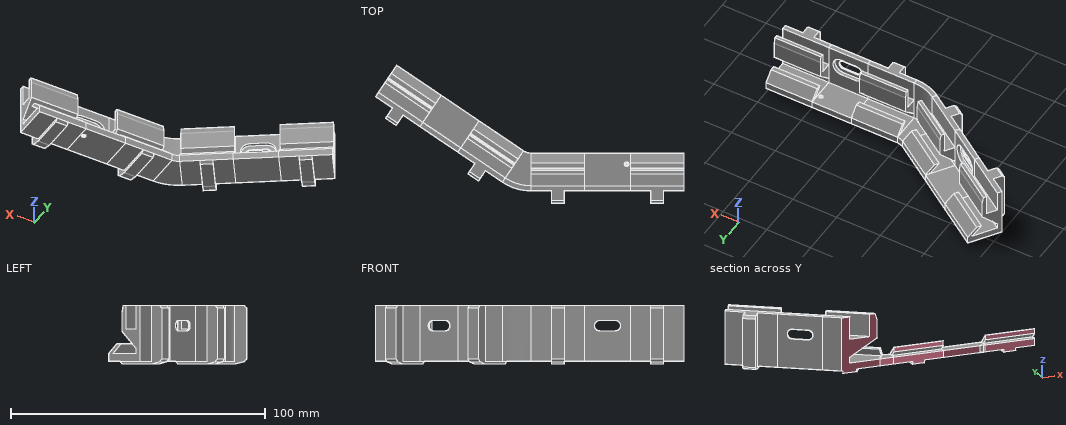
import cadquery as cq

clip_length = 21.1
plate_length = 17.9
run_length = 2 * clip_length + plate_length
bend_angle = 34.0
bend_radius = 20.1

rail_depth = 14.9
rail_height = 22.0
wall_thickness = 2.0
floor_thickness = 3.0

tongue_front = 6.7
tongue_back_top = 8.1
tongue_back = 8.6
tongue_slot_depth = 9.2
tongue_taper_height = 2.7
tongue_low_edge = 11.7
lip_height = 7.0
lip_top_front = 9.0
lip_top_back = 11.0

rib_width = 5.1
rib_reach = 4.8
rib_chamfer = 1.1
rib_toe_drop = 0.1
skid_drop = 1.1

window_length = 10.2
window_height = 4.0
window_center_height = 14.0
window_rim_thickness = 0.6
window_pocket_margin = 1.9

ring_outer_radius = 0.8
disc_radius = 0.5
ring_end_gap = 1.5
ring_depth = 10.5


def extrude_along_run(profile, start, length):
    """Extrude a list of (y, z) points along x."""
    return cq.Workplane("YZ").workplane(offset=start).polyline(profile).close().extrude(length)


def make_rib(center):
    profile = [
        (wall_thickness, rail_height),
        (-rib_reach + rib_chamfer, rail_height),
        (-rib_reach, rail_height - rib_chamfer),
        (-rib_reach, rib_chamfer - rib_toe_drop),
        (-rib_reach + rib_chamfer, -rib_toe_drop),
        (0, -skid_drop),
        (rail_depth - skid_drop, -skid_drop),
        (rail_depth, 0),
        (wall_thickness, 0),
    ]
    return extrude_along_run(profile, center - rib_width / 2, rib_width)


def make_clip(start):
    underside_rise = tongue_back - wall_thickness
    lip_outer_edge = lip_height - (rail_depth - lip_top_back)
    lip_foot = lip_top_front + lip_height - floor_thickness
    slot_floor = rail_height - tongue_slot_depth
    profile = [
        (0, 0),
        (rail_depth, 0),
        (rail_depth, lip_outer_edge),
        (lip_top_back, lip_height),
        (lip_top_front, lip_height),
        (lip_foot, floor_thickness),
        (wall_thickness, floor_thickness),
        (wall_thickness, tongue_low_edge - underside_rise),
        (tongue_back, tongue_low_edge),
        (tongue_back, rail_height - tongue_taper_height),
        (tongue_back_top, rail_height),
        (tongue_front, rail_height),
        (tongue_front, slot_floor),
        (wall_thickness, slot_floor),
        (wall_thickness, rail_height),
        (0, rail_height),
    ]
    body = extrude_along_run(profile, start, clip_length)
    return body.union(make_rib(start + clip_length / 2))


angle_profile = [
    (0, 0),
    (rail_depth, 0),
    (rail_depth, floor_thickness),
    (wall_thickness, floor_thickness),
    (wall_thickness, rail_height),
    (0, rail_height),
]


def make_oblong(center_x, margin, front, back):
    """Window outline grown by a margin, filling the wall from y = front to y = back."""
    return (
        cq.Workplane("XZ", origin=(center_x, front, window_center_height))
        .slot2D(window_length + 2 * margin, window_height + 2 * margin)
        .extrude(front - back)
    )


def make_plate(start):
    center = start + plate_length / 2
    window = make_oblong(center, 0, 0, wall_thickness)
    pocket = make_oblong(center, window_pocket_margin, window_rim_thickness, wall_thickness)
    return extrude_along_run(angle_profile, start, plate_length).cut(window).cut(pocket)


def make_bend():
    """Revolve the L section about the vertical axis through (0, bend_radius)."""
    return (
        cq.Workplane("YZ")
        .polyline(angle_profile)
        .close()
        .revolve(bend_angle, (bend_radius, 0), (bend_radius, -1))
    )


def make_floor_cylinder(x, radius):
    return cq.Workplane("XY").center(x, ring_depth).circle(radius).extrude(floor_thickness)


def turn_into_left_run(body):
    return body.rotate((0, bend_radius, 0), (0, bend_radius, 1), -bend_angle)


bend = make_bend()

plate_start = clip_length
right_clips = [make_clip(start) for start in (0, plate_start + plate_length)]
ring_x = plate_start + plate_length - ring_end_gap
right_plate = make_plate(plate_start).cut(make_floor_cylinder(ring_x, ring_outer_radius))
loose_disc = make_floor_cylinder(ring_x, disc_radius)

left_clips = [turn_into_left_run(make_clip(start)) for start in (-run_length, -clip_length)]
left_plate = turn_into_left_run(make_plate(-run_length + clip_length))

clips = left_clips + right_clips
result = cq.Compound.makeCompound([
    bend.val(),
    left_plate.val(),
    right_plate.val(),
    loose_disc.val(),
    *[clip.val() for clip in clips],
])